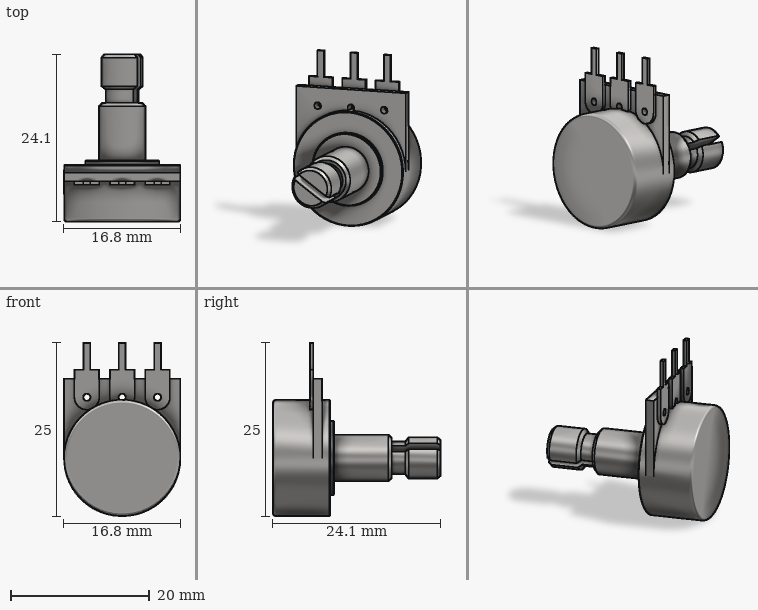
import cadquery as cq


can_radius = 8.38
can_end = 8.23
can_front_fillet = 0.5
can_back_chamfer = 0.12
washer_radius = 5.34
washer_end = 8.85
washer_chamfer = 0.15
bushing_radius = 3.37
bushing_end = 17.13
bushing_chamfer = 0.5
neck_radius = 2.37
neck_end = 19.05
shaft_radius = 3.0
shaft_end = 24.15
shaft_shoulder_length = 0.5
shaft_tip_length = 0.5
shaft_tip_step = 0.42

slot_width = 1.0
slot_angle = 35.0

board_start = 5.84
board_thickness = 1.25
board_height = 11.4

terminal_thickness = 0.5
terminal_pitch = 5.1
terminal_width = 3.57
terminal_shoulder = 12.72
terminal_top = 24.95 - can_radius
pin_width = 1.0
hole_height = 8.73
hole_diameter = 1.0


def rod(radius, start, end):
    """Cylinder on the Y axis between two Y positions."""
    return cq.Workplane("XZ", origin=(0, start, 0)).circle(radius).extrude(start - end)


def make_can():
    can = rod(can_radius, 0, can_end)
    can = can.faces("<Y").edges().fillet(can_front_fillet)
    return can.faces(">Y").edges().chamfer(can_back_chamfer)


def make_washer():
    washer = rod(washer_radius, can_end, washer_end)
    return washer.faces(">Y").edges().chamfer(washer_chamfer)


def make_bushing():
    bushing = rod(bushing_radius, washer_end, bushing_end)
    return bushing.faces(">Y").edges().chamfer(bushing_chamfer)


def make_shaft():
    """Necked shaft with a diametral slot running down to the bushing."""
    shaft = (
        cq.Workplane("XY")
        .moveTo(0, bushing_end)
        .lineTo(neck_radius, bushing_end)
        .lineTo(neck_radius, neck_end)
        .lineTo(shaft_radius, neck_end + shaft_shoulder_length)
        .lineTo(shaft_radius, shaft_end - shaft_tip_length)
        .lineTo(shaft_radius - shaft_tip_step, shaft_end)
        .lineTo(0, shaft_end)
        .close()
        .revolve(360, (0, 0, 0), (0, 1, 0))
    )
    slot = (
        cq.Workplane("XZ", origin=(0, bushing_end, 0))
        .transformed(rotate=(0, 0, slot_angle))
        .rect(3 * shaft_radius, slot_width)
        .extrude(bushing_end - shaft_end)
    )
    return shaft.cut(slot)


def make_board():
    return cq.Workplane("XY").box(
        2 * can_radius, board_thickness, board_height, centered=(True, False, False)
    ).translate((0, board_start, 0))


def make_terminal(x):
    """Flat lug with a round lower end and a narrow pin on top."""
    half_width = terminal_width / 2
    half_pin = pin_width / 2
    return (
        cq.Workplane("XZ", origin=(x, board_start, 0))
        .moveTo(-half_width, hole_height)
        .lineTo(-half_width, terminal_shoulder)
        .lineTo(-half_pin, terminal_shoulder)
        .lineTo(-half_pin, terminal_top)
        .lineTo(half_pin, terminal_top)
        .lineTo(half_pin, terminal_shoulder)
        .lineTo(half_width, terminal_shoulder)
        .lineTo(half_width, hole_height)
        .threePointArc((0, hole_height - half_width), (-half_width, hole_height))
        .close()
        .extrude(terminal_thickness)
    )


terminal_board = make_board()
for x in (-terminal_pitch, 0, terminal_pitch):
    hole = rod(
        hole_diameter / 2, board_start - terminal_thickness, board_start + board_thickness
    ).translate((x, 0, hole_height))
    terminal_board = terminal_board.union(make_terminal(x)).cut(hole)

result = (
    make_can()
    .union(make_washer())
    .union(make_bushing())
    .union(make_shaft())
    .union(terminal_board)
)